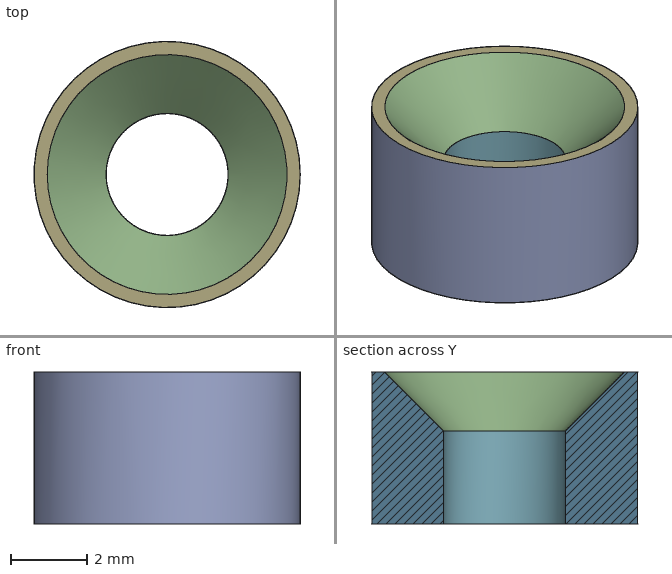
import cadquery as cq

outer_diameter = 7.0
height = 4.0
bore_diameter = 3.2
countersink_diameter = 6.3
countersink_angle = 90.0

result = (
    cq.Workplane("XY")
    .circle(outer_diameter / 2)
    .extrude(height)
    .faces(">Z")
    .workplane()
    .cskHole(bore_diameter, countersink_diameter, countersink_angle)
)